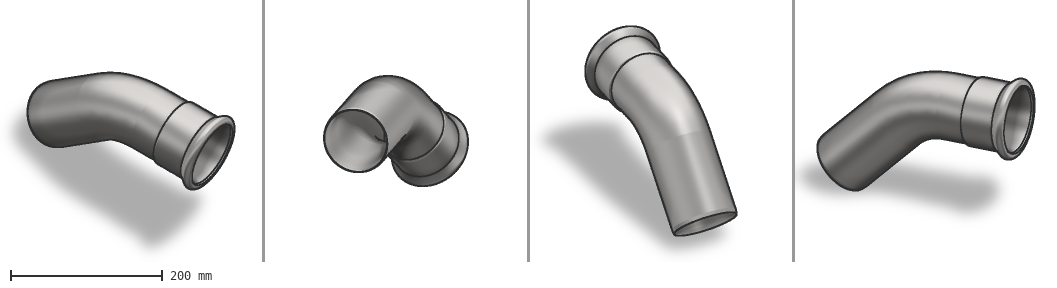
import cadquery as cq
import math

wall = 2.0
pipe_radius = 89.0 / 2
bore_radius = pipe_radius - wall
bend_angle = 45
bend_radius = 106.5
spigot_length = 115.2

bevel_length = 5.8
outer_bevel_depth = 0.72
inner_bevel_depth = 0.35

socket_radius = 93.5 / 2
socket_bore_radius = socket_radius - wall
socket_end = 100.2
shoulder_end = 40.0
shoulder_radius = 3.7
flare_start = 82.5
bead_peak_radius = 109.2 / 2
bead_round = 5.8
mouth_radius = 91.5 / 2
mouth_bevel_length = 3.0


def revolve_about_x(profile):
    """Revolve an (axial, radial) profile about the X axis."""
    return profile.close().revolve(360, (0, 0, 0), (1, 0, 0))


def make_bend():
    section = cq.Workplane("YZ").circle(pipe_radius).circle(bore_radius)
    return section.revolve(bend_angle, (0, -bend_radius, 0), (-1, -bend_radius, 0))


def make_spigot():
    """Straight leg along -X, then turned and moved to the far end of the bend."""
    profile = (
        cq.Workplane("XY")
        .moveTo(0, bore_radius)
        .lineTo(0, pipe_radius)
        .lineTo(bevel_length - spigot_length, pipe_radius)
        .lineTo(-spigot_length, pipe_radius - outer_bevel_depth)
        .lineTo(-spigot_length, bore_radius + inner_bevel_depth)
        .lineTo(bevel_length - spigot_length, bore_radius)
    )
    spigot = revolve_about_x(profile)
    return spigot.rotate((0, 0, -bend_radius), (0, 1, -bend_radius), -bend_angle)


def make_socket():
    shoulder_centre_r = socket_radius - shoulder_radius
    shoulder_rise = math.asin((pipe_radius - shoulder_centre_r) / shoulder_radius)
    shoulder_start = shoulder_end - shoulder_radius * math.cos(shoulder_rise)
    shoulder_mid_angle = (shoulder_rise + math.pi / 2) / 2
    shoulder_mid = (
        shoulder_end - shoulder_radius * math.cos(shoulder_mid_angle),
        shoulder_centre_r + shoulder_radius * math.sin(shoulder_mid_angle),
    )

    bead_x = socket_end - bead_round
    bead_r = bead_peak_radius - bead_round
    run = bead_x - flare_start
    rise = bead_r - socket_radius
    flare_slope = math.atan2(rise, run) + math.asin(bead_round / math.hypot(run, rise))
    flare_end = (
        bead_x - bead_round * math.sin(flare_slope),
        bead_r + bead_round * math.cos(flare_slope),
    )

    profile = (
        cq.Workplane("XY")
        .moveTo(0, bore_radius)
        .lineTo(0, pipe_radius)
        .lineTo(shoulder_start, pipe_radius)
        .threePointArc(shoulder_mid, (shoulder_end, socket_radius))
        .lineTo(flare_start, socket_radius)
        .lineTo(*flare_end)
        .threePointArc((bead_x, bead_peak_radius), (socket_end, bead_r))
        .lineTo(socket_end, mouth_radius)
        .lineTo(socket_end - mouth_bevel_length, socket_bore_radius)
        .lineTo(shoulder_end, socket_bore_radius)
        .lineTo(shoulder_end, bore_radius)
    )
    return revolve_about_x(profile)


result = make_bend().union(make_socket()).union(make_spigot())